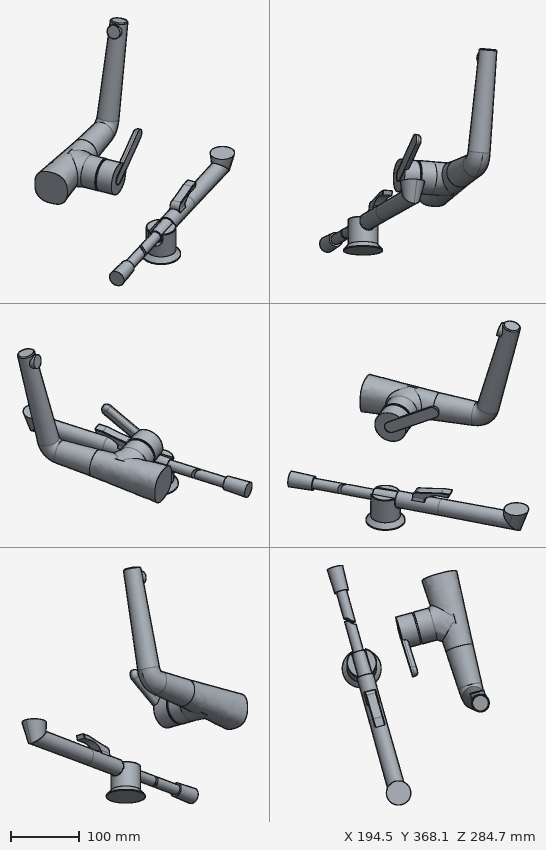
import cadquery as cq
import math


INLET_SIZE = 53.0
INLET_SQUARENESS = 2.5
BODY_LENGTH = 110.6
OUTLET_DIAMETER = 41.0
OUTLINE_POINTS = 24

BRANCH_Y = 65.2
BRANCH_RADIUS = 24.3
BRANCH_END_X = 50.8
FLARE_START_X = -4.0
FLARE_END_X = 28.0
FLARE_HALF_LENGTH = 45.0
FLARE_HALF_HEIGHT = 22.9
SEAM_WIDTH = 2.0
SEAM_DEPTH = 1.0
CAP_RADIUS = 24.0
CAP_LENGTH = 24.8

LEVER_WIDTH = 17.5
LEVER_BACK_X = 69.8
LEVER_FRONT_X = 78.8
LEVER_ANGLE = 30.4
LEVER_REACH = 76.7
LEVER_ROUNDING = 6.0

SPOUT_CORNER_Y = 185.0
SPOUT_TILT = 14.2
SPOUT_BEND_RADIUS = 20.0
BEND_START_RADIUS = 17.7
BEND_END_RADIUS = 16.2
SPOUT_TIP_RADIUS = 13.0
SPOUT_RISE = 166.5
SPOUT_TIP_CHAMFER = 1.6
NOZZLE_RADIUS = 10.4
NOZZLE_REACH = 16.2
NOZZLE_SETBACK = 13.8

SPRAY_X = 139.5
SPRAY_Z = -80.3
SPRAY_RADIUS = 12.3
SPRAY_NECK_RADIUS = 13.0
SPRAY_END_Y = 99.0
SPRAY_GRIP_Y = 165.5
MITRE_Y = 276.3
MOUTH_RADIUS = 18.0
MOUTH_Y = 282.9
MOUTH_Z = -59.6

TRIGGER_WIDTH = 15.2
TRIGGER_EDGE = 1.0
RIM_BOTTOM_Z = -57.0
TRIGGER_ROOT_Z = -75.0
FOOT_FRONT_Y = 144.2
FOOT_BACK_Y = 123.2
FOOT_WIDTH = 20.0
FOOT_HEIGHT = 8.0
FOOT_TAPER = 4.0
TIP_TOP = (181.8, -51.4)
PAD_TOP = (168.5, -51.6)
BLADE_TOP_MIDDLE = (147.0, -55.8)
HEEL_TOP = (131.0, -58.2)
HEEL_MIDDLE = (126.0, -61.5)
HEEL_BOTTOM = (124.3, -68.0)
THROAT = (FOOT_FRONT_Y, -66.5)
BLADE_UNDER_MIDDLE = (153.0, -60.3)
PAD_UNDER = (166.0, -57.6)
TIP_UNDER = (179.3, -57.9)

HOSE_RADIUS = 7.8
FERRULE_RADIUS = 10.5
FERRULE_END_RADIUS = 9.6
FERRULE_END_Y = 62.3
BREAK_Y = 17.8
BREAK_RISE = 4.2
BREAK_BULGE = 0.75
BREAK_GAP = 4.6
HOSE_END_Y = -30.8
FITTING_RADIUS = 10.5
FITTING_TIP_RADIUS = 11.8
FITTING_END_Y = -67.2

HOLDER_Y = 80.0
HOLDER_RADIUS = 21.8
HOLDER_TOP_Z = -73.4
HOLDER_TOP_CHAMFER = 1.0
HOLDER_BOTTOM_Z = -120.5
FLANGE_RADIUS = 28.5
FLANGE_RIM = 1.6
FLANGE_HEIGHT = 9.0
CHANNEL_MOUTH_RADIUS = 14.0
CHANNEL_MOUTH_DEPTH = 6.0


def y_cone(x, z, y_start, y_end, radius_start, radius_end):
    """Cone or cylinder along Y, on the axis through (x, z)."""
    profile = [(0, y_start), (radius_start, y_start), (radius_end, y_end), (0, y_end)]
    return (cq.Workplane("XY", origin=(x, 0, z)).polyline(profile).close()
            .revolve(360, (0, 0), (0, 1)))


def spray_cone(y_start, y_end, radius_start, radius_end):
    """Cone or cylinder on the axis shared by the hand spray and its hose."""
    return y_cone(SPRAY_X, SPRAY_Z, y_start, y_end, radius_start, radius_end)


def superellipse(workplane, half_size, exponent):
    def stretch(value):
        return half_size * math.copysign(abs(value) ** (2 / exponent), value)

    angles = [2 * math.pi * i / OUTLINE_POINTS for i in range(OUTLINE_POINTS)]
    points = [(stretch(math.cos(a)), stretch(math.sin(a))) for a in angles]
    return workplane.spline(points, periodic=True).close()


def make_body():
    inlet = superellipse(cq.Workplane("XZ"), INLET_SIZE / 2, INLET_SQUARENESS)
    outlet_plane = inlet.workplane(offset=-BODY_LENGTH)
    barrel = superellipse(outlet_plane, OUTLET_DIAMETER / 2, 2).loft(ruled=True)
    flare = (cq.Workplane("YZ", origin=(FLARE_START_X, BRANCH_Y, 0))
             .ellipse(FLARE_HALF_LENGTH, FLARE_HALF_HEIGHT)
             .workplane(offset=FLARE_END_X - FLARE_START_X).circle(BRANCH_RADIUS).loft())
    branch = (cq.Workplane("YZ", origin=(FLARE_END_X, BRANCH_Y, 0)).circle(BRANCH_RADIUS)
              .extrude(BRANCH_END_X - FLARE_END_X))
    neck = (cq.Workplane("YZ", origin=(BRANCH_END_X, BRANCH_Y, 0))
            .circle(CAP_RADIUS - SEAM_DEPTH).extrude(SEAM_WIDTH))
    return barrel.union(flare).union(branch).union(neck)


def make_cap():
    drum = (cq.Workplane("YZ", origin=(BRANCH_END_X + SEAM_WIDTH, BRANCH_Y, 0))
            .circle(CAP_RADIUS).extrude(CAP_LENGTH))
    lever = (cq.Workplane("YZ", origin=(LEVER_BACK_X, BRANCH_Y, 0))
             .transformed(rotate=(0, 0, LEVER_ANGLE)).center(LEVER_REACH / 2, 0)
             .slot2D(LEVER_REACH + LEVER_WIDTH, LEVER_WIDTH)
             .extrude(LEVER_FRONT_X - LEVER_BACK_X)
             .faces("<X").edges().fillet(LEVER_ROUNDING))
    return drum.union(lever)


def make_spout():
    tilt = math.radians(SPOUT_TILT)
    half_turn = (math.pi / 2 - tilt) / 2
    setback = SPOUT_BEND_RADIUS * math.tan(half_turn)
    forward = cq.Vector(0, 1, 0)
    upward = cq.Vector(0, math.sin(tilt), math.cos(tilt))
    nozzle_direction = cq.Vector(0, -math.cos(tilt), math.sin(tilt))

    corner = cq.Vector(0, SPOUT_CORNER_Y, 0)
    bend_start = corner - forward * setback
    bend_end = corner + upward * setback
    tip = corner + upward * SPOUT_RISE
    to_middle = cq.Vector(0, math.sin(half_turn), 1 - math.cos(half_turn))
    bend_middle = bend_start + to_middle * SPOUT_BEND_RADIUS

    lower_leg = y_cone(0, 0, BODY_LENGTH, bend_start.y, OUTLET_DIAMETER / 2, BEND_START_RADIUS)
    bend_path = cq.Edge.makeThreePointArc(bend_start, bend_middle, bend_end)
    bend_ends = [
        cq.Wire.makeCircle(BEND_START_RADIUS, bend_start, forward),
        cq.Wire.makeCircle(BEND_END_RADIUS, bend_end, upward),
    ]
    bend = cq.Workplane("XY").add(cq.Solid.sweep_multi(bend_ends, bend_path))
    upper_leg = cq.Workplane("XY").add(cq.Solid.makeCone(
        BEND_END_RADIUS, SPOUT_TIP_RADIUS, SPOUT_RISE - setback, bend_end, upward))
    upper_leg = upper_leg.faces(">Z").chamfer(SPOUT_TIP_CHAMFER)
    nozzle_root = tip - upward * NOZZLE_SETBACK
    nozzle = cq.Workplane("XY").add(cq.Solid.makeCylinder(
        NOZZLE_RADIUS, NOZZLE_REACH, nozzle_root, nozzle_direction))
    return lower_leg.union(bend).union(upper_leg).union(nozzle)


def make_spray():
    grip = spray_cone(SPRAY_END_Y, SPRAY_GRIP_Y, SPRAY_RADIUS, SPRAY_RADIUS)
    beyond_mitre = MITRE_Y + 2 * SPRAY_NECK_RADIUS
    neck = spray_cone(SPRAY_GRIP_Y, beyond_mitre, SPRAY_RADIUS, SPRAY_NECK_RADIUS)
    mitre = cq.Plane((SPRAY_X, MITRE_Y, SPRAY_Z), xDir=(1, 0, 0), normal=(0, 1, 1))
    trim_size = 8 * SPRAY_NECK_RADIUS
    neck = neck.cut(cq.Workplane(mitre).rect(trim_size, trim_size).extrude(trim_size))

    mitre_half_length = SPRAY_NECK_RADIUS * math.sqrt(2)
    joint = cq.Workplane(mitre).ellipse(SPRAY_NECK_RADIUS, mitre_half_length).wire().val()
    mouth = cq.Wire.makeCircle(MOUTH_RADIUS, cq.Vector(SPRAY_X, MOUTH_Y, MOUTH_Z), cq.Vector(0, 0, 1))
    head = cq.Workplane("XY").add(cq.Solid.makeLoft([joint, mouth], True))
    return grip.union(neck).union(head)


def make_trigger(spray_body):
    blade = (cq.Workplane("YZ", origin=(SPRAY_X, 0, 0))
             .moveTo(*TIP_TOP).lineTo(*PAD_TOP)
             .threePointArc(BLADE_TOP_MIDDLE, HEEL_TOP)
             .threePointArc(HEEL_MIDDLE, HEEL_BOTTOM)
             .lineTo(HEEL_BOTTOM[0], TRIGGER_ROOT_Z).lineTo(FOOT_FRONT_Y, TRIGGER_ROOT_Z)
             .lineTo(*THROAT)
             .threePointArc(BLADE_UNDER_MIDDLE, PAD_UNDER).lineTo(*TIP_UNDER).close()
             .extrude(TRIGGER_WIDTH / 2, both=True))
    top_rim = cq.selectors.BoxSelector(
        (SPRAY_X - TRIGGER_WIDTH, FOOT_FRONT_Y, RIM_BOTTOM_Z),
        (SPRAY_X + TRIGGER_WIDTH, TIP_TOP[0], TIP_TOP[1]))
    blade = blade.edges("not |X").edges(top_rim).chamfer(TRIGGER_EDGE)
    foot_length = FOOT_FRONT_Y - FOOT_BACK_Y
    foot = (cq.Workplane("XY", origin=(SPRAY_X, FOOT_BACK_Y + foot_length / 2, TRIGGER_ROOT_Z))
            .rect(FOOT_WIDTH, foot_length)
            .workplane(offset=FOOT_HEIGHT).rect(TRIGGER_WIDTH, foot_length - FOOT_TAPER).loft())
    return blade.union(foot).cut(spray_body)


def below_break(y):
    """Block on the -Y side of an S-shaped break line centred at y."""
    depth = 4 * HOSE_RADIUS
    half_span = HOSE_RADIUS / 2
    bulge_rise = BREAK_BULGE * BREAK_RISE
    return (cq.Workplane("XY", origin=(SPRAY_X, y, SPRAY_Z))
            .moveTo(-HOSE_RADIUS, BREAK_RISE)
            .threePointArc((-half_span, bulge_rise), (0, 0))
            .threePointArc((half_span, -bulge_rise), (HOSE_RADIUS, -BREAK_RISE))
            .lineTo(HOSE_RADIUS, HOSE_END_Y - y).lineTo(-HOSE_RADIUS, HOSE_END_Y - y).close()
            .extrude(depth, both=True))


def make_upper_hose():
    ferrule = spray_cone(SPRAY_END_Y, FERRULE_END_Y, FERRULE_RADIUS, FERRULE_END_RADIUS)
    hose = spray_cone(FERRULE_END_Y, HOSE_END_Y, HOSE_RADIUS, HOSE_RADIUS)
    return ferrule.union(hose.cut(below_break(BREAK_Y)))


def make_lower_hose():
    hose = spray_cone(FERRULE_END_Y, HOSE_END_Y, HOSE_RADIUS, HOSE_RADIUS)
    return hose.intersect(below_break(BREAK_Y - BREAK_GAP))


def make_hose_fitting():
    return spray_cone(HOSE_END_Y, FITTING_END_Y, FITTING_RADIUS, FITTING_TIP_RADIUS)


def make_holder(spray_body):
    base = cq.Workplane("XY", origin=(SPRAY_X, HOLDER_Y, HOLDER_BOTTOM_Z))
    post = base.circle(HOLDER_RADIUS).extrude(HOLDER_TOP_Z - HOLDER_BOTTOM_Z)
    post = post.faces(">Z").chamfer(HOLDER_TOP_CHAMFER)
    rim = base.circle(FLANGE_RADIUS).extrude(FLANGE_RIM)
    skirt = (base.workplane(offset=FLANGE_RIM).circle(FLANGE_RADIUS)
             .workplane(offset=FLANGE_HEIGHT - FLANGE_RIM).circle(HOLDER_RADIUS).loft())
    holder = post.union(rim).union(skirt)

    back = HOLDER_Y - HOLDER_RADIUS
    front = HOLDER_Y + HOLDER_RADIUS
    bore = spray_cone(back, front, FERRULE_RADIUS, FERRULE_RADIUS)
    opening = (cq.Workplane("XY", origin=(SPRAY_X, HOLDER_Y, SPRAY_Z))
               .rect(2 * FERRULE_RADIUS, 2 * HOLDER_RADIUS).extrude(HOLDER_RADIUS))
    holder = holder.cut(bore).cut(opening)
    for outside, inward in ((back, 1), (front, -1)):
        inside = outside + inward * CHANNEL_MOUTH_DEPTH
        holder = holder.cut(spray_cone(outside, inside, CHANNEL_MOUTH_RADIUS, FERRULE_RADIUS))
    return holder.cut(spray_body)


body = make_body()
cap = make_cap()
spout = make_spout()
spray = make_spray()
trigger = make_trigger(spray)
upper_hose = make_upper_hose()
lower_hose = make_lower_hose()
hose_fitting = make_hose_fitting()
holder = make_holder(spray)

result = cq.Compound.makeCompound([
    body.val(),
    cap.val(),
    spout.val(),
    spray.val(),
    trigger.val(),
    upper_hose.val(),
    lower_hose.val(),
    hose_fitting.val(),
    holder.val(),
])